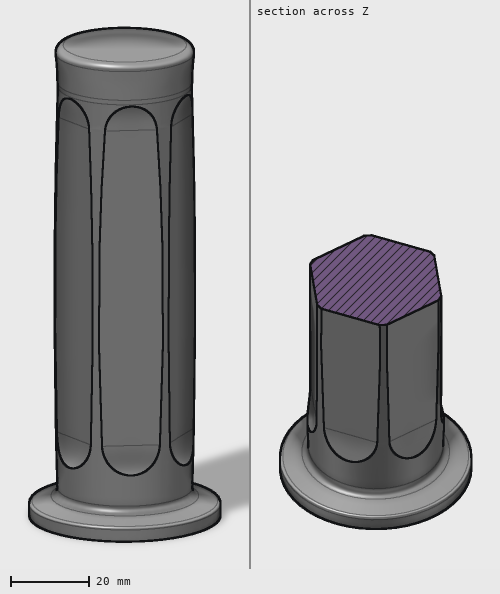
import cadquery as cq

total_height = 125.0

flange_radius = 24.5
flange_rim_height = 3.1
rim_round = 0.8
cone_inner_radius = 18.9
cone_inner_height = 5.2

barrel_start_radius = 17.2
barrel_start_height = 7.4
barrel_middle_radius = 18.0
barrel_middle_height = 61.2
barrel_end_radius = 17.1
barrel_end_height = 114.0

neck_radius = 17.2
neck_height = 115.2
head_radius = 17.8
head_bow = 0.1
head_round = 2.0

flat_count = 6
flat_distance = 16.0
flat_bottom = 23.1
flat_top = 106.9
runout_radius = 20.0
runout_depth = 3.8
cutter_width = 4 * barrel_middle_radius


def grip_body():
    """Revolve the flange, barrel and head about the vertical axis."""
    shoulder_height = total_height - head_round
    head_middle = (
        (neck_radius + head_radius) / 2 - head_bow,
        (neck_height + shoulder_height) / 2,
    )
    profile = (
        cq.Workplane("XZ")
        .lineTo(flange_radius, 0)
        .lineTo(flange_radius, flange_rim_height)
        .tangentArcPoint((flange_radius - rim_round, flange_rim_height + rim_round), relative=False)
        .lineTo(cone_inner_radius, cone_inner_height)
        .tangentArcPoint((barrel_start_radius, barrel_start_height), relative=False)
        .threePointArc(
            (barrel_middle_radius, barrel_middle_height),
            (barrel_end_radius, barrel_end_height),
        )
        .lineTo(neck_radius, neck_height)
        .threePointArc(head_middle, (head_radius, shoulder_height))
        .radiusArc((head_radius - head_round, total_height), -head_round)
        .lineTo(0, total_height)
        .close()
    )
    return profile.revolve(360, (0, 0, 0), (0, 1, 0))


def flat_cutter():
    """Block facing +X whose inner face curves outward at both ends."""
    outer_distance = flat_distance + runout_depth
    runout_length = (runout_radius**2 - (runout_radius - runout_depth) ** 2) ** 0.5
    return (
        cq.Workplane("XZ")
        .moveTo(flat_distance, flat_bottom)
        .lineTo(flat_distance, flat_top)
        .tangentArcPoint((outer_distance, flat_top + runout_length), relative=False)
        .lineTo(outer_distance, flat_bottom - runout_length)
        .radiusArc((flat_distance, flat_bottom), runout_radius)
        .close()
        .extrude(cutter_width / 2, both=True)
    )


result = grip_body()
for index in range(flat_count):
    turn = index * 360 / flat_count
    result = result.cut(flat_cutter().rotate((0, 0, 0), (0, 0, 1), turn))